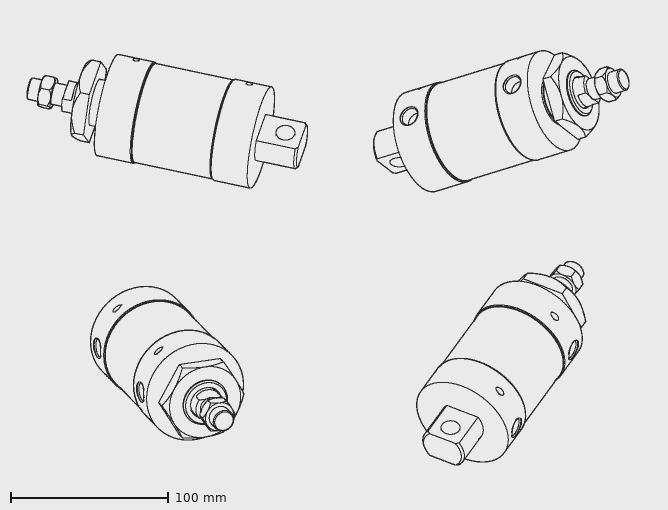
import cadquery as cq
import math

OVERALL_LENGTH = 180.0
LOCK_NUT_START = 8.0
COLLAR_START = 24.0
NOSE_START = 32.0
MOUNT_NUT_START = 33.8
BODY_START = 51.8
BODY_END = 152.8

ROD_DIA = 14.0
ROD_TIP_CHAMFER = 0.7
COLLAR_DIA = 20.0
FLAT_THICKNESS = 12.6
FLAT_LENGTH = 6.0
FLAT_FILLET = 0.9
LOCK_NUT_FLATS = 19.0
LOCK_NUT_THICKNESS = 8.3

NOSE_DIA = 30.0
NOSE_CHAMFER = 1.0
ROD_RECESS_DIA = 21.0
ROD_RECESS_DEPTH = 2.0
SHOULDER_DIA = 32.0
SHOULDER_LENGTH = 1.0
MOUNT_NUT_FLATS = 48.5
MOUNT_NUT_THICKNESS = 9.5

HEAD_DIA = 66.0
HEAD_LENGTH = 24.3
HEAD_CHAMFER = 0.5
TUBE_DIA = 64.6
GROOVE_DIA = 58.0
GROOVE_WIDTH = 0.5

PORT_DIA = 11.5
PORT_MOUTH_DIA = 13.1
PORT_DEPTH = 9.0
PORT_FROM_FACE = 11.7
NEEDLE_DIA = 4.0
NEEDLE_DEPTH = 5.4
NEEDLE_HEIGHT = 26.1
NEEDLE_FROM_FACE = 13.1

LUG_DIA = NOSE_DIA
LUG_THICKNESS = COLLAR_DIA
LUG_CHAMFER = 1.5
PIN_HOLE_DIA = 12.0
PIN_HOLE_FROM_END = 11.0


def bar(start, end, diameter):
    """Round bar on the X axis between two stations."""
    return cq.Workplane("YZ", origin=(start, 0, 0)).circle(diameter / 2).extrude(end - start)


def hex_nut(start, thickness, across_flats, chamfered_faces):
    """Hexagon on the X axis with corners at +Y and -Y, cut back at 45 degrees on the chosen faces."""
    corner_dia = across_flats / math.cos(math.pi / 6)
    corner_cut = (corner_dia - across_flats) / 2
    hexagon = cq.Workplane("YZ", origin=(start, 0, 0)).polygon(6, corner_dia).extrude(thickness)
    envelope = bar(start, start + thickness, corner_dia)
    for face in chamfered_faces:
        envelope = envelope.faces(face).chamfer(corner_cut)
    return hexagon.intersect(envelope)


def make_rod():
    rod_end = NOSE_START + ROD_RECESS_DEPTH
    shank = bar(0, COLLAR_START, ROD_DIA).faces("<X").chamfer(ROD_TIP_CHAMFER)
    collar = bar(COLLAR_START, rod_end, COLLAR_DIA)
    for side in (1, -1):
        cutter_center_z = side * (FLAT_THICKNESS + COLLAR_DIA) / 2
        cutter = (
            cq.Workplane("XY", origin=(COLLAR_START, 0, cutter_center_z))
            .box(2 * FLAT_LENGTH, COLLAR_DIA, COLLAR_DIA)
            .edges("|Y and >X")
            .fillet(FLAT_FILLET)
        )
        collar = collar.cut(cutter)
    lock_nut = hex_nut(LOCK_NUT_START, LOCK_NUT_THICKNESS, LOCK_NUT_FLATS, ("<X", ">X"))
    return shank.union(collar).union(lock_nut)


def make_nose():
    nose = bar(NOSE_START, BODY_START, NOSE_DIA).faces("<X").chamfer(NOSE_CHAMFER)
    shoulder = bar(BODY_START - SHOULDER_LENGTH, BODY_START, SHOULDER_DIA)
    nut = hex_nut(MOUNT_NUT_START, MOUNT_NUT_THICKNESS, MOUNT_NUT_FLATS, ("<X",))
    recess = bar(NOSE_START, NOSE_START + ROD_RECESS_DEPTH, ROD_RECESS_DIA)
    return nose.union(shoulder).union(nut).cut(recess)


def make_barrel():
    front_end = BODY_START + HEAD_LENGTH
    rear_start = BODY_END - HEAD_LENGTH
    front_head = bar(BODY_START, front_end, HEAD_DIA).faces(">X").chamfer(HEAD_CHAMFER)
    rear_head = bar(rear_start, BODY_END, HEAD_DIA).faces("<X").chamfer(HEAD_CHAMFER)
    tube = bar(front_end + GROOVE_WIDTH, rear_start - GROOVE_WIDTH, TUBE_DIA)
    core = bar(front_end, rear_start, GROOVE_DIA)
    return core.union(tube).union(front_head).union(rear_head)


def port_cutter(x):
    """Blind hole from the +Y side with a 45 degree countersunk mouth."""
    surface_y = HEAD_DIA / 2
    bore_radius = PORT_DIA / 2
    mouth_radius = PORT_MOUTH_DIA / 2
    floor_y = surface_y - PORT_DEPTH
    mouth_y = math.sqrt(surface_y**2 - mouth_radius**2)
    cone_y = mouth_y - (mouth_radius - bore_radius)
    half_section = [
        (0, floor_y),
        (bore_radius, floor_y),
        (bore_radius, cone_y),
        (mouth_radius, mouth_y),
        (mouth_radius, surface_y),
        (0, surface_y),
    ]
    profile = cq.Workplane("XY", origin=(x, 0, 0)).polyline(half_section).close()
    return profile.revolve(360, (0, 0, 0), (0, 1, 0))


def needle_cutter(x):
    """Small blind hole parallel to the port."""
    surface_y = math.sqrt((HEAD_DIA / 2) ** 2 - NEEDLE_HEIGHT**2)
    return (
        cq.Workplane("XZ", origin=(x, surface_y - NEEDLE_DEPTH, NEEDLE_HEIGHT))
        .circle(NEEDLE_DIA / 2)
        .extrude(-HEAD_DIA / 2)
    )


def make_lug():
    round_lug = bar(BODY_END, OVERALL_LENGTH, LUG_DIA).faces(">X").chamfer(LUG_CHAMFER)
    slab = cq.Workplane("XY").box(2 * OVERALL_LENGTH, LUG_DIA, LUG_THICKNESS)
    pin_hole = (
        cq.Workplane("XY", origin=(OVERALL_LENGTH - PIN_HOLE_FROM_END, 0, 0))
        .circle(PIN_HOLE_DIA / 2)
        .extrude(LUG_THICKNESS, both=True)
    )
    return round_lug.intersect(slab).cut(pin_hole)


def make_housing():
    housing = make_barrel().union(make_nose()).union(make_lug())
    for face_x, inward in ((BODY_START, 1), (BODY_END, -1)):
        housing = housing.cut(port_cutter(face_x + inward * PORT_FROM_FACE))
        housing = housing.cut(needle_cutter(face_x + inward * NEEDLE_FROM_FACE))
    return housing


rod = make_rod()
housing = make_housing()
result = cq.Compound.makeCompound([rod.val(), housing.val()])